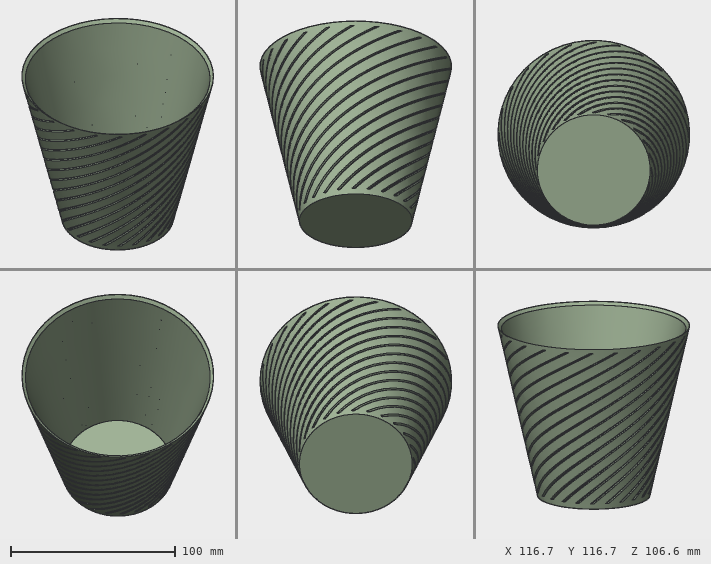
import cadquery as cq
import math

height = 106.6
top_radius = 58.33
bottom_radius = 34.3
wall = 1.7
floor_thickness = 2.0
rim_drop = 1.9

groove_count = 24
groove_half_width = 1.05
groove_depth = 0.8
groove_bottom = 3.6
groove_height = 100.3
groove_twist = 180.0
cutter_overhang = 0.5
cutter_sections = 25

wall_slope = (top_radius - bottom_radius) / height
inner_rim_z = height - rim_drop
groove_spacing = 360 / groove_count


def outer_radius(z):
    return bottom_radius + wall_slope * z


def inner_radius(z):
    return outer_radius(z) - wall


def make_cup():
    profile = (
        cq.Workplane("XZ")
        .lineTo(bottom_radius, 0)
        .lineTo(top_radius, height)
        .lineTo(inner_radius(inner_rim_z), inner_rim_z)
        .lineTo(inner_radius(floor_thickness), floor_thickness)
        .lineTo(0, floor_thickness)
        .close()
    )
    return profile.revolve(360, (0, 0, 0), (0, 1, 0))


def groove_section(fraction):
    """Level V section of one groove, at a fraction of the way up it."""
    z = groove_bottom + fraction * groove_height
    turn = math.radians(fraction * groove_twist)
    radial = cq.Vector(math.cos(turn), math.sin(turn), 0)
    sideways = cq.Vector(-math.sin(turn), math.cos(turn), 0)

    mouth_half_width = groove_half_width * (1 + cutter_overhang / groove_depth)
    mouth = radial * (outer_radius(z) + cutter_overhang)
    tip = radial * (outer_radius(z) - groove_depth)
    level = cq.Vector(0, 0, z)
    corners = [
        tip + level,
        mouth + sideways * mouth_half_width + level,
        mouth - sideways * mouth_half_width + level,
    ]
    return cq.Wire.makePolygon(corners, close=True)


def make_groove_cutter():
    last = cutter_sections - 1
    sections = [groove_section(index / last) for index in range(cutter_sections)]
    return cq.Solid.makeLoft(sections)


def cut_grooves(cup):
    cutter = make_groove_cutter()
    cutters = []
    for index in range(groove_count):
        cutters.append(cutter.rotate((0, 0, 0), (0, 0, 1), index * groove_spacing))
    return cup.cut(cq.Compound.makeCompound(cutters))


result = cut_grooves(make_cup())